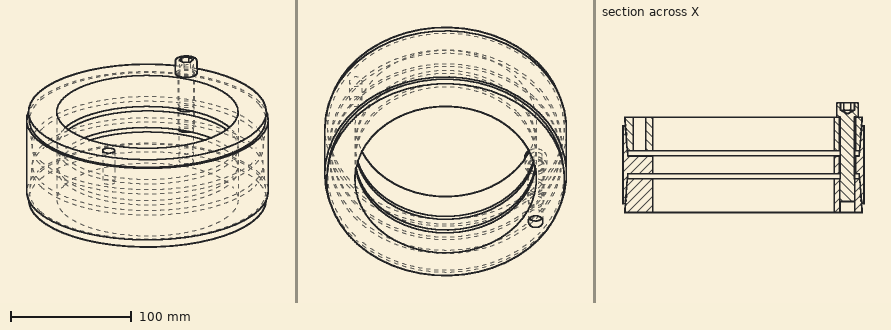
import cadquery as cq
import math


outer_diameter = 200.0
bore_diameter = 150.0
total_height = 79.0
outer_ring_height = 64.5

taper_ring_height = 28.0
taper_end_diameter = 196.8
taper_angle = 5.0
taper_slope = math.tan(math.radians(taper_angle))

web_gap = 4.0
web_height = total_height - 2 * (taper_ring_height + web_gap)

bolt_circle_radius = 86.0
shank_diameter = 12.0
shank_length = 70.0
clearance_diameter = 13.5
jacking_hole_diameter = 10.2
head_diameter = 18.0
head_height = 12.0
head_fillet = 1.2
socket_across_flats = 10.0
socket_depth = 6.0
socket_cone_angle = 60.0

outer_radius = outer_diameter / 2
bore_radius = bore_diameter / 2
mid_z = total_height / 2
outer_ring_bottom = mid_z - outer_ring_height / 2
outer_ring_top = mid_z + outer_ring_height / 2
web_bottom = mid_z - web_height / 2
web_top = mid_z + web_height / 2


def taper_radius(z):
    """Radius of the taper surface, widest at the two end faces."""
    depth = min(z, total_height - z)
    return taper_end_diameter / 2 - depth * taper_slope


def revolve_profile(points):
    """Revolve a closed (radius, z) outline about the Z axis."""
    return cq.Workplane("XZ").polyline(points).close().revolve(360, (0, 0, 0), (0, 1, 0))


def vertical_hole(diameter, y):
    """Cutter on the Y axis that passes through the full height."""
    return cq.Workplane("XY").center(0, y).circle(diameter / 2).extrude(total_height)


def make_outer_ring():
    profile = [
        (outer_radius, outer_ring_bottom),
        (outer_radius, outer_ring_top),
        (taper_radius(outer_ring_top), outer_ring_top),
        (taper_radius(web_top), web_top),
        (bore_radius, web_top),
        (bore_radius, web_bottom),
        (taper_radius(web_bottom), web_bottom),
        (taper_radius(outer_ring_bottom), outer_ring_bottom),
    ]
    return revolve_profile(profile).cut(vertical_hole(clearance_diameter, bolt_circle_radius))


def make_taper_ring(end_z, inner_z):
    """Plain taper ring from its exposed end face to its inner face."""
    profile = [
        (bore_radius, end_z),
        (taper_radius(end_z), end_z),
        (taper_radius(inner_z), inner_z),
        (bore_radius, inner_z),
    ]
    return revolve_profile(profile)


def make_top_taper_ring():
    ring = make_taper_ring(total_height, total_height - taper_ring_height)
    ring = ring.cut(vertical_hole(clearance_diameter, bolt_circle_radius))
    return ring.cut(vertical_hole(jacking_hole_diameter, -bolt_circle_radius))


def make_bottom_taper_ring():
    ring = make_taper_ring(0, taper_ring_height)
    return ring.cut(vertical_hole(shank_diameter, bolt_circle_radius))


def make_hex_socket():
    """Hexagonal socket cutter with a conical bottom, corners toward +Y and -Y."""
    corner_radius = socket_across_flats / 2 / math.cos(math.radians(30))
    cone_depth = corner_radius / math.tan(math.radians(socket_cone_angle))
    hexagon = (
        cq.Workplane("XY")
        .workplane(offset=head_height - socket_depth - cone_depth)
        .transformed(rotate=(0, 0, 90))
        .polygon(6, 2 * corner_radius)
        .extrude(socket_depth + cone_depth)
    )
    cone_top = head_height - socket_depth
    drill = revolve_profile([
        (0, cone_top - cone_depth),
        (corner_radius, cone_top),
        (corner_radius, head_height),
        (0, head_height),
    ])
    return hexagon.intersect(drill)


def make_screw():
    head = cq.Workplane("XY").circle(head_diameter / 2).extrude(head_height)
    head = head.faces(">Z").edges().fillet(head_fillet)
    shank = cq.Workplane("XY").circle(shank_diameter / 2).extrude(-shank_length)
    screw = head.union(shank).cut(make_hex_socket())
    return screw.translate((0, bolt_circle_radius, total_height))


outer_ring = make_outer_ring()
top_taper_ring = make_top_taper_ring()
bottom_taper_ring = make_bottom_taper_ring()
screw = make_screw()

result = cq.Compound.makeCompound([
    outer_ring.val(),
    top_taper_ring.val(),
    bottom_taper_ring.val(),
    screw.val(),
])